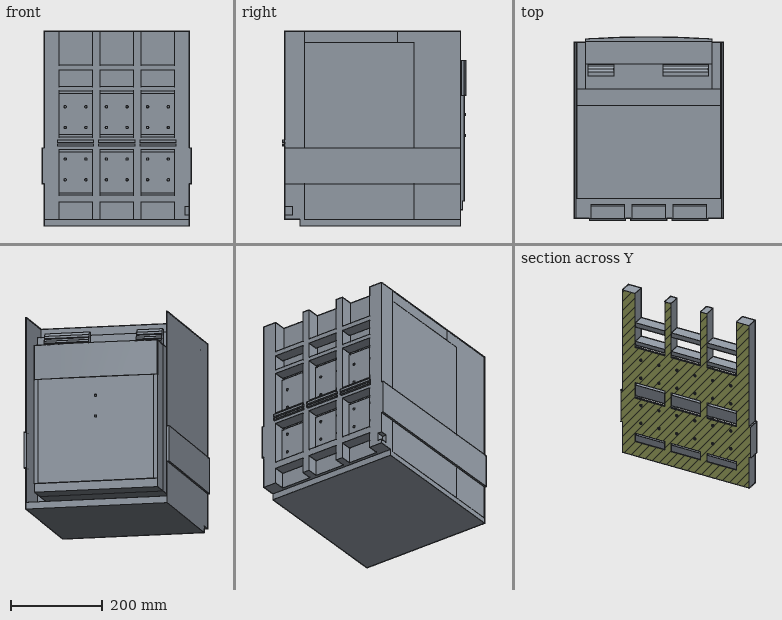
import cadquery as cq


HEIGHT = 425.0
BODY_WIDTH = 316.5
OVERALL_WIDTH = 325.0
SIDE_DEPTH = 383.5
SHEET = 2.0
INNER_WIDTH = BODY_WIDTH - 2 * SHEET
BLOCK_DEPTH = 43.0
BAND_BOTTOM = 92.2
BAND_TOP = 171.0
FLOOR_TOP = 15.0
NOTCH_DEPTH = 33.5

PHASE_PITCH = 89.5
PHASES = [-PHASE_PITCH, 0, PHASE_PITCH]
CHANNEL_WIDTH = 73.0
CHANNEL_DEPTH = 30.5
BAR_DEPTH = 26.5
FOOT_BAR_BOTTOM = 52.3
CROSSBARS = [(FOOT_BAR_BOTTOM, 68.0), (167.0, 194.0), (294.5, 304.0), (339.5, 350.5)]
PLATE_FACE = 24.0
PLATES = [(72.0, 161.5), (199.5, 289.0)]
HOLE_DIAMETER = 5.0
HOLE_DEPTH = 8.5
HOLE_PITCH = 45.0
HOLE_CENTRES = [123.5, 237.5]
RIB_WIDTH = 78.5
RIB_DEPTH = 4.5
RIBS = [(174.5, 178.5), (182.5, 188.0)]

RECESS_WIDTH = 9.5
RECESS_DEPTH = 17.0
RECESS_BOTTOM = 24.5
RECESS_TOP = 43.0

ROOF_END = 245.5

SHOULDER_TOP = 399.5
SHOULDER_END = 281.5
FRONT_WIDTH = 275.5
FRONT_BOTTOM = 35.5
FRONT_TOP = 361.0
BREAKER_END = 336.0
AUX_BLOCKS = [(-132.5, -76.0), (30.5, 130.0)]
AUX_START = 309.5

COVER_END = 385.5
FLANGE_END = 387.5
FASCIA_BOTTOM = 284.8
PANEL_BOTTOM = 54.5
PANEL_RIM = 390.0
PANEL_END = 392.0
PANEL_INSET = 8.5
BUTTON_END = 393.5
BUTTON_DIAMETER = 4.5
BUTTON_HEIGHTS = [197.5, 243.5]
FASCIA_EDGE = 390.5
FASCIA_CREST = 395.2


def block(x_range, y_range, z_range):
    """Box between two limits along each axis."""
    (x0, x1), (y0, y1), (z0, z1) = x_range, y_range, z_range
    return cq.Workplane("XY").box(x1 - x0, y1 - y0, z1 - z0, centered=False).translate((x0, y0, z0))


def centred(width, middle=0.0):
    """X limits of a width centred on a given place."""
    return (middle - width / 2, middle + width / 2)


def make_frame():
    """Terminal block, side sheets with their outer bands, and the floor, with the foot notch."""
    frame = block(centred(BODY_WIDTH), (0, SIDE_DEPTH), (0, HEIGHT))
    bands = block(centred(OVERALL_WIDTH), (0, SIDE_DEPTH), (BAND_BOTTOM, BAND_TOP))
    interior = block(centred(INNER_WIDTH), (BLOCK_DEPTH, SIDE_DEPTH), (FLOOR_TOP, HEIGHT))
    foot_notch = block(centred(BODY_WIDTH), (0, NOTCH_DEPTH), (0, FLOOR_TOP))
    return frame.union(bands).cut(interior).cut(foot_notch)


def add_phase(frame, middle):
    """Full-height channel with crossbars, drilled terminal plates, a foot infill and outer ribs."""
    channel_x = centred(CHANNEL_WIDTH, middle)
    frame = frame.cut(block(channel_x, (0, CHANNEL_DEPTH), (FLOOR_TOP, HEIGHT)))
    for z_range in CROSSBARS:
        frame = frame.union(block(channel_x, (0, BAR_DEPTH), z_range))
    for z_range in PLATES:
        frame = frame.union(block(channel_x, (PLATE_FACE, CHANNEL_DEPTH), z_range))
    frame = frame.union(block(channel_x, (BAR_DEPTH, CHANNEL_DEPTH), (FLOOR_TOP, FOOT_BAR_BOTTOM)))
    for z_range in RIBS:
        frame = frame.union(block(centred(RIB_WIDTH, middle), (-RIB_DEPTH, 0), z_range))
    for height in HOLE_CENTRES:
        holes = (
            cq.Workplane("XZ", origin=(middle, PLATE_FACE, height))
            .rarray(HOLE_PITCH, HOLE_PITCH, 2, 2)
            .circle(HOLE_DIAMETER / 2)
            .extrude(-HOLE_DEPTH)
        )
        frame = frame.cut(holes)
    return frame


def make_cradle():
    cradle = make_frame()
    for middle in PHASES:
        cradle = add_phase(cradle, middle)
    edge = BODY_WIDTH / 2
    recess = block((edge - RECESS_WIDTH, edge), (0, RECESS_DEPTH), (RECESS_BOTTOM, RECESS_TOP))
    return cradle.cut(recess)


def make_roof():
    """Slab between the side sheets, flush with the top of the cradle."""
    return block(centred(INNER_WIDTH), (BLOCK_DEPTH, ROOF_END), (SHOULDER_TOP, HEIGHT))


def make_aux_block(x_start, x_end):
    """Stepped connector block: three sloping tiers, undercut between them, fall away towards +Y."""
    profile = [
        (AUX_START, FRONT_TOP),
        (AUX_START, SHOULDER_TOP),
        (318.8, SHOULDER_TOP),
        (325.5, 392.5),
        (325.5, 387.5),
        (323.0, 386.5),
        (331.0, 381.0),
        (331.0, 376.5),
        (326.5, 375.5),
        (335.0, 369.8),
        (335.0, FRONT_TOP),
    ]
    return cq.Workplane("YZ", origin=(x_start, 0, 0)).polyline(profile).close().extrude(x_end - x_start)


def make_breaker():
    main = block(centred(INNER_WIDTH), (BLOCK_DEPTH, SHOULDER_END), (FLOOR_TOP, SHOULDER_TOP))
    nose = block(centred(FRONT_WIDTH), (SHOULDER_END, BREAKER_END), (FRONT_BOTTOM, FRONT_TOP))
    breaker = main.union(nose)
    for x_start, x_end in AUX_BLOCKS:
        breaker = breaker.union(make_aux_block(x_start, x_end))
    return breaker


def make_cover():
    """Front cover with a flange, a two-step lower panel and two round buttons."""
    front_x = centred(FRONT_WIDTH)
    cover = block(front_x, (BREAKER_END, COVER_END), (FRONT_BOTTOM, FRONT_TOP))
    flange = block(front_x, (COVER_END, FLANGE_END), (FRONT_BOTTOM, FASCIA_BOTTOM))
    panel = block(front_x, (FLANGE_END, PANEL_RIM), (PANEL_BOTTOM, FASCIA_BOTTOM))
    raised_x = centred(FRONT_WIDTH - 2 * PANEL_INSET)
    raised = block(raised_x, (PANEL_RIM, PANEL_END), (PANEL_BOTTOM, FASCIA_BOTTOM))
    cover = cover.union(flange).union(panel).union(raised)
    for height in BUTTON_HEIGHTS:
        button = (
            cq.Workplane("XZ", origin=(0, PANEL_END, height))
            .circle(BUTTON_DIAMETER / 2)
            .extrude(PANEL_END - BUTTON_END)
        )
        cover = cover.union(button)
    return cover


def make_fascia():
    """Upper front plate with a gently bowed outer face."""
    left, right = centred(FRONT_WIDTH)
    return (
        cq.Workplane("XY", origin=(0, 0, FASCIA_BOTTOM))
        .moveTo(left, COVER_END)
        .lineTo(left, FASCIA_EDGE)
        .threePointArc((0, FASCIA_CREST), (right, FASCIA_EDGE))
        .lineTo(right, COVER_END)
        .close()
        .extrude(FRONT_TOP - FASCIA_BOTTOM)
    )


cradle = make_cradle()
roof = make_roof()
breaker = make_breaker()
cover = make_cover()
fascia = make_fascia()

result = cq.Compound.makeCompound(
    [cradle.val(), roof.val(), breaker.val(), cover.val(), fascia.val()]
)